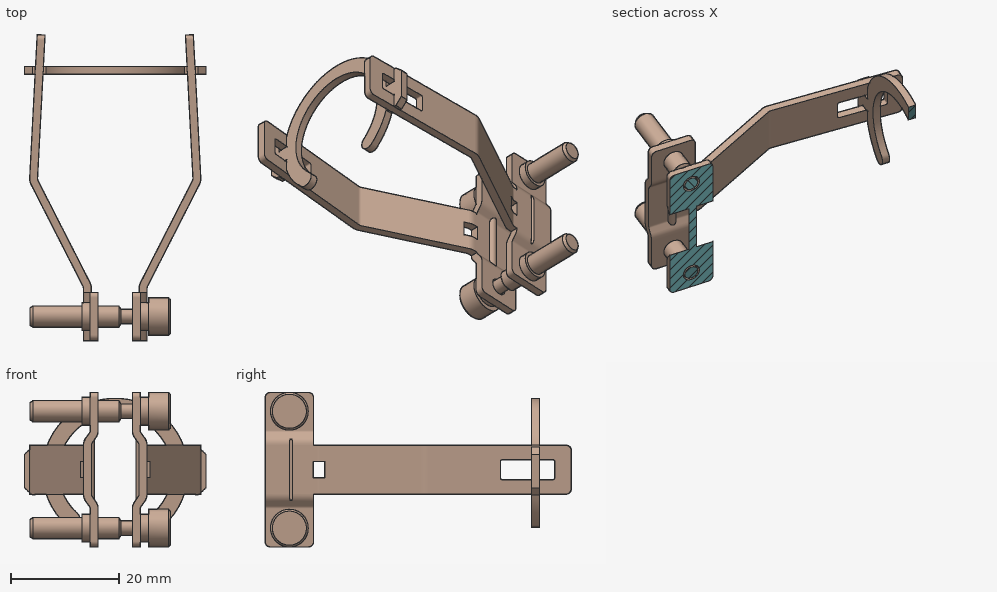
import cadquery as cq
import math


thickness = 1.5
bend_inner_radius = 1.0
strip_width = 9.1
grip_inner_x = 4.4
lower_bend_y = 5.6
upper_bend_y = 25.2
strip_end_y = 52.18
lower_slope = 27
upper_slope = -3
corner_radius = 1.0

ear_inner_x = 3.15
ear_width = 9.0
ear_top_z = 14.32
joggle_angle = 36
joggle_radius = 0.75
joggle_start_z = 4.55

slot_start_y = 39.1
slot_length = 10.0
slot_height = 3.65
slot_corner_radius = 0.3
window_start_y = 4.45
window_length = 2.1
window_height = 2.95
bead_y = 0.3
bead_radius = 0.9
bead_rise = 0.6
bead_half_length = 5.7
groove_radius = 0.3

thread_diameter = 4.0
thread_root_diameter = 3.24
neck_diameter = 2.75
head_diameter = 7.0
head_length = 4.0
head_chamfer = 0.35
screw_length = 22.0
tip_chamfer_length = 0.58
thread_end_x = 0.65
neck_start_x = 1.05
collar_diameter = 5.2
collar_length = 1.55
screw_z = ear_top_z - head_diameter / 2

ring_y = 45.57
ring_thickness = 1.5
ring_z = -0.25
ring_outer_radius = 13.5
ring_inner_radius = 10.5
ring_flat_x = 12.85
ring_end_angle = 42
hook_outer_x = 16.815
hook_inner_x = 14.9
hook_height = 8.9
hook_chamfer_x = 1.45
hook_chamfer_z = 1.35
hook_neck_height = 3.0

ear_outer_x = ear_inner_x + thickness
collar_outer_x = ear_outer_x + collar_length


def mitred_sides(path):
    """Left and right sides, half a thickness off an open path, with sharp mitred bends."""
    half = thickness / 2
    angles = [math.atan2(b[1] - a[1], b[0] - a[0]) for a, b in zip(path, path[1:])]
    before = [angles[0]] + angles
    after = angles + [angles[-1]]
    left = []
    right = []
    for (px, py), a, b in zip(path, before, after):
        middle = (a + b) / 2
        reach = half / math.cos((b - a) / 2)
        dx = -math.sin(middle) * reach
        dy = math.cos(middle) * reach
        left.append((px + dx, py + dy))
        right.append((px - dx, py - dy))
    return left, right


def bent_sheet(plane, path, width, inner_radius):
    """Sheet bent along a path in the given plane, its width centred on that plane."""
    left, right = mitred_sides(path)
    sheet = cq.Workplane(plane).polyline(left + right[::-1]).close().extrude(width / 2, both=True)
    for i in range(1, len(path) - 1):
        ax, ay = path[i - 1]
        bx, by = path[i]
        cx, cy = path[i + 1]
        turns_left = (bx - ax) * (cy - by) - (by - ay) * (cx - bx) > 0
        left_radius = inner_radius if turns_left else inner_radius + thickness
        right_radius = inner_radius + thickness if turns_left else inner_radius
        for corner, radius in ((left[i], left_radius), (right[i], right_radius)):
            spot = cq.Plane.named(plane).toWorldCoords(corner)
            sheet = sheet.edges(cq.selectors.NearestToPointSelector(spot.toTuple())).fillet(radius)
    return sheet


def strip():
    """Long bent strip that carries the slot, with its two end corners rounded."""
    x0 = grip_inner_x + thickness / 2
    x1 = x0 + (upper_bend_y - lower_bend_y) * math.tan(math.radians(lower_slope))
    x2 = x1 + (strip_end_y - upper_bend_y) * math.tan(math.radians(upper_slope))
    path = [(x0, -ear_width / 2), (x0, lower_bend_y), (x1, upper_bend_y), (x2, strip_end_y)]
    sheet = bent_sheet("XY", path, strip_width, bend_inner_radius)
    return sheet.faces(">Y").edges("#Z").fillet(corner_radius)


def ears():
    """Channel across the front of the strip: grip zone, two joggles and two ears with rounded corners."""
    grip_x = grip_inner_x + thickness / 2
    ear_x = ear_inner_x + thickness / 2
    slant = math.radians(joggle_angle)
    setback = (joggle_radius + thickness / 2) * math.tan(slant / 2)
    z1 = joggle_start_z + setback
    z2 = z1 + (grip_x - ear_x) / math.tan(slant)
    upper = [(grip_x, z1), (ear_x, z2), (ear_x, ear_top_z)]
    lower = [(x, -z) for x, z in reversed(upper)]
    sheet = bent_sheet("XZ", lower + upper, ear_width, joggle_radius)
    return sheet.faces("<Z or >Z").edges("|X").fillet(corner_radius)


def screw_cylinder(diameter, start_x, end_x):
    """Cylinders on both screw axes."""
    return (
        cq.Workplane("YZ", origin=(start_x, 0, 0))
        .pushPoints([(0, screw_z), (0, -screw_z)])
        .circle(diameter / 2)
        .extrude(end_x - start_x)
    )


def bead():
    """Rounded ridge on the inner face of the grip zone."""
    return (
        cq.Workplane("XY")
        .center(grip_inner_x - bead_rise + bead_radius, bead_y)
        .circle(bead_radius)
        .extrude(bead_half_length, both=True)
    )


def groove():
    """Narrow groove on the outer face behind the bead."""
    return (
        cq.Workplane("XY")
        .center(grip_inner_x + thickness, bead_y)
        .circle(groove_radius)
        .extrude(ear_top_z, both=True)
    )


def slot():
    """Cutter along X for the slot that takes the ring hook."""
    return (
        cq.Workplane("YZ")
        .center(slot_start_y + slot_length / 2, 0)
        .rect(slot_length, slot_height)
        .extrude(hook_outer_x)
        .edges("|X")
        .fillet(slot_corner_radius)
    )


def window():
    """Cutter for the opening at the lower bend; its far wall stands square to the sloped strip."""
    far_y = window_start_y + window_length
    slope = math.tan(math.radians(lower_slope))
    bend_outer_x = grip_inner_x + thickness
    far_wall_x = bend_outer_x + (far_y - lower_bend_y) * slope
    outline = [
        (0, window_start_y),
        (hook_outer_x, window_start_y),
        (hook_outer_x, far_y - (hook_outer_x - far_wall_x) * slope),
        (0, far_y + far_wall_x * slope),
    ]
    return cq.Workplane("XY").polyline(outline).close().extrude(window_height / 2, both=True)


def plate(hole_diameter):
    """Plate on the +X side."""
    body = strip().union(ears()).union(bead()).cut(groove())
    body = body.union(screw_cylinder(collar_diameter, ear_outer_x, collar_outer_x))
    body = body.cut(screw_cylinder(hole_diameter, 0, hook_outer_x))
    return body.cut(slot()).cut(window())


def screw(z):
    """Captive cap screw turned about an axis along X at height z: head, thin neck, thread and chamfered tip."""
    tip_x = collar_outer_x - screw_length
    head_x = collar_outer_x + head_length
    profile = [
        (tip_x, 0),
        (tip_x, thread_root_diameter / 2),
        (tip_x + tip_chamfer_length, thread_diameter / 2),
        (thread_end_x, thread_diameter / 2),
        (neck_start_x, neck_diameter / 2),
        (collar_outer_x, neck_diameter / 2),
        (collar_outer_x, head_diameter / 2),
        (head_x - head_chamfer, head_diameter / 2),
        (head_x, head_diameter / 2 - head_chamfer),
        (head_x, 0),
    ]
    turned = cq.Workplane("XY").polyline(profile).close().revolve(360, (0, 0, 0), (1, 0, 0))
    return turned.translate((0, 0, z))


def ring_point(radius, angle_from_bottom):
    """Point in the ring's plane at an angle, in degrees, from straight down toward +X."""
    a = math.radians(angle_from_bottom)
    return (radius * math.sin(a), -radius * math.cos(a))


def hook():
    """T-shaped hook on the +X side: a neck through the slot and a head with chamfered outer corners."""
    half_head = hook_height / 2
    half_neck = hook_neck_height / 2
    neck_root_x = (ring_outer_radius + ring_inner_radius) / 2
    upper = [
        (neck_root_x, half_neck),
        (hook_inner_x, half_neck),
        (hook_inner_x, half_head),
        (hook_outer_x - hook_chamfer_x, half_head),
        (hook_outer_x, half_head - hook_chamfer_z),
    ]
    lower = [(x, -z) for x, z in reversed(upper)]
    return cq.Workplane("XZ").polyline(upper + lower).close().extrude(ring_thickness / 2, both=True)


def ring():
    """Flat ring open at the bottom, with rounded ends and a hook on each side."""
    middle_radius = (ring_outer_radius + ring_inner_radius) / 2
    tip_reach = math.degrees((ring_outer_radius - ring_inner_radius) / 2 / middle_radius)
    end = ring_end_angle
    arc = (
        cq.Workplane("XZ")
        .moveTo(*ring_point(ring_outer_radius, end))
        .threePointArc((0, ring_outer_radius), ring_point(ring_outer_radius, -end))
        .threePointArc(ring_point(middle_radius, tip_reach - end), ring_point(ring_inner_radius, -end))
        .threePointArc((0, ring_inner_radius), ring_point(ring_inner_radius, end))
        .threePointArc(ring_point(middle_radius, end - tip_reach), ring_point(ring_outer_radius, end))
        .close()
        .extrude(ring_thickness / 2, both=True)
    )
    flats = cq.Workplane("XY").box(2 * ring_flat_x, ring_thickness, 2 * ring_outer_radius)
    right_hook = hook()
    hooked_arc = arc.intersect(flats).union(right_hook).union(right_hook.mirror("YZ"))
    return hooked_arc.translate((0, ring_y, ring_z))


head_side_plate = plate(thread_root_diameter)
thread_side_plate = plate(thread_diameter).mirror("YZ")
screws = [screw(z) for z in (screw_z, -screw_z)]

result = cq.Compound.makeCompound(
    [head_side_plate.val(), thread_side_plate.val(), ring().val(), *[s.val() for s in screws]]
)